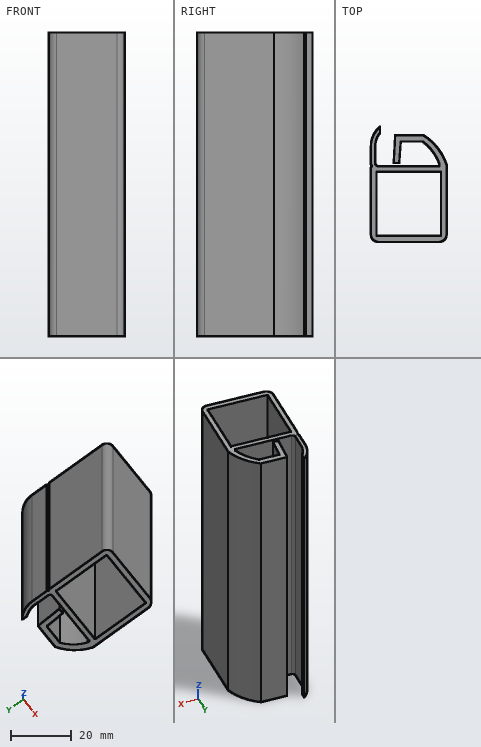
import cadquery as cq

width = 25.0
depth = 38.0
length = 100.0

tube_depth = 25.0
wall = 1.9
front_wall = 2.1
corner_radius = 2.5

lip_wall = 1.5
lip_reach = 3.1
lip_bend_start = 31.5
root_radius = 1.0

arm_top = 35.2
arm_wall = 2.2
arm_start = 25.4
arm_bend_x = 17.3
arm_bulge = (21.9, 31.1)
arm_inner_foot = (22.5, 25.8)
arm_inner_bend_x = 17.1
arm_inner_bulge = (20.4, 29.7)
hook_bottom = 26.0
hook_left = 7.5
hook_wall = 1.9
hook_lean = 0.5

groove_half_width = 0.6
groove_depth = 0.3


def extrude(outline):
    return outline.close().extrude(length)


def make_tube():
    body = cq.Workplane("XY").rect(width, tube_depth).extrude(length)
    body = body.translate((width / 2, tube_depth / 2, 0))
    body = body.edges("|Z and <Y").fillet(corner_radius)
    cavity = (
        cq.Workplane("XY")
        .moveTo(wall, front_wall)
        .lineTo(width - wall, front_wall)
        .lineTo(width - wall, tube_depth - wall)
        .lineTo(wall, tube_depth - wall)
    )
    return body.cut(extrude(cavity))


def make_lip():
    rise = depth - lip_bend_start
    outer_radius = (lip_reach**2 + rise**2) / (2 * lip_reach)
    inner_radius = outer_radius - lip_wall
    inner_rise = (inner_radius**2 - (outer_radius - lip_reach) ** 2) ** 0.5
    inner_tip = lip_bend_start + inner_rise
    outline = (
        cq.Workplane("XY")
        .moveTo(0, tube_depth - wall)
        .lineTo(0, lip_bend_start)
        .tangentArcPoint((lip_reach, depth), relative=False)
        .lineTo(lip_reach, inner_tip)
        .radiusArc((lip_wall, lip_bend_start), -inner_radius)
        .lineTo(lip_wall, tube_depth + root_radius)
        .radiusArc((lip_wall + root_radius, tube_depth), -root_radius)
        .lineTo(lip_wall + root_radius, tube_depth - wall)
    )
    return extrude(outline)


def make_arm():
    hook_right = hook_left + hook_wall
    foot_x = arm_inner_foot[0]
    arm_underside = arm_top - arm_wall
    outline = (
        cq.Workplane("XY")
        .moveTo(width, tube_depth - wall)
        .lineTo(width, arm_start)
        .threePointArc(arm_bulge, (arm_bend_x, arm_top))
        .lineTo(hook_left + hook_lean, arm_top)
        .lineTo(hook_left, hook_bottom)
        .lineTo(hook_right, hook_bottom)
        .lineTo(hook_right + hook_lean, arm_underside)
        .lineTo(arm_inner_bend_x, arm_underside)
        .threePointArc(arm_inner_bulge, arm_inner_foot)
        .lineTo(foot_x, tube_depth - wall)
    )
    return extrude(outline)


def make_groove():
    outline = (
        cq.Workplane("XY")
        .moveTo(0, tube_depth - groove_half_width)
        .lineTo(groove_depth, tube_depth)
        .lineTo(0, tube_depth + groove_half_width)
    )
    return extrude(outline)


result = make_tube().union(make_lip()).union(make_arm()).cut(make_groove())